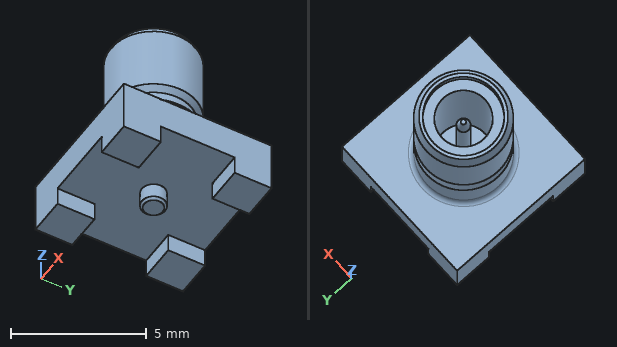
import cadquery as cq

base_width = 6.35
base_top = 2.2
foot_width = 1.59
foot_height = 0.79
foot_spacing = base_width - foot_width

barrel_radius = 1.84
barrel_top = 7.7
root_fillet = 0.2
rim_cone_width = 0.2
rim_cone_height = 0.35

groove_depth = 0.21
groove_slope_height = 0.235
groove_bottom = 3.83
groove_top = 4.65
groove_radius = barrel_radius - groove_depth

mouth_radius = 1.5
mouth_depth = 0.36
bore_radius = 1.075
bore_floor = base_top

contact_radius = 0.265
contact_tip_radius = 0.1
contact_tip_height = 0.5
contact_top = 6.84
tail_radius = 0.5
tail_bottom = 0.06
tail_chamfer = 0.1


def make_base():
    """Square plate standing on a square foot at each corner."""
    plate = (
        cq.Workplane("XY", origin=(0, 0, foot_height))
        .rect(base_width, base_width)
        .extrude(base_top - foot_height)
    )
    feet = (
        cq.Workplane("XY")
        .rect(foot_spacing, foot_spacing, forConstruction=True)
        .vertices()
        .rect(foot_width, foot_width)
        .extrude(foot_height)
    )
    return plate.union(feet)


def make_barrel():
    """Turned barrel with a concave root, a groove and a tapered rim; its foot is sunk into the plate."""
    fillet_mid = root_fillet * (1 - 0.5 ** 0.5)
    return (
        cq.Workplane("XZ")
        .moveTo(0, foot_height)
        .lineTo(barrel_radius + root_fillet, foot_height)
        .lineTo(barrel_radius + root_fillet, base_top)
        .threePointArc(
            (barrel_radius + fillet_mid, base_top + fillet_mid),
            (barrel_radius, base_top + root_fillet),
        )
        .lineTo(barrel_radius, groove_bottom)
        .lineTo(groove_radius, groove_bottom + groove_slope_height)
        .lineTo(groove_radius, groove_top - groove_slope_height)
        .lineTo(barrel_radius, groove_top)
        .lineTo(barrel_radius, barrel_top - rim_cone_height)
        .lineTo(barrel_radius - rim_cone_width, barrel_top)
        .lineTo(0, barrel_top)
        .close()
        .revolve(360, (0, 0, 0), (0, 1, 0))
    )


def cylinder(radius, bottom, top):
    """Upright cylinder on the part's axis."""
    return cq.Workplane("XY", origin=(0, 0, bottom)).circle(radius).extrude(top - bottom)


def make_housing():
    """Base and barrel, with a stepped socket and a hole for the contact."""
    mouth = cylinder(mouth_radius, barrel_top - mouth_depth, barrel_top)
    bore = cylinder(bore_radius, bore_floor, barrel_top)
    contact_hole = cylinder(contact_radius, foot_height, bore_floor)
    return make_base().union(make_barrel()).cut(mouth).cut(bore).cut(contact_hole)


def make_pin():
    """Slim tapered contact above a thicker tail whose shoulder rests against the plate."""
    return (
        cq.Workplane("XZ")
        .moveTo(0, tail_bottom)
        .lineTo(tail_radius - tail_chamfer, tail_bottom)
        .lineTo(tail_radius, tail_bottom + tail_chamfer)
        .lineTo(tail_radius, foot_height)
        .lineTo(contact_radius, foot_height)
        .lineTo(contact_radius, contact_top - contact_tip_height)
        .lineTo(contact_tip_radius, contact_top)
        .lineTo(0, contact_top)
        .close()
        .revolve(360, (0, 0, 0), (0, 1, 0))
    )


housing = make_housing()
pin = make_pin()

result = cq.Compound.makeCompound([housing.val(), pin.val()])